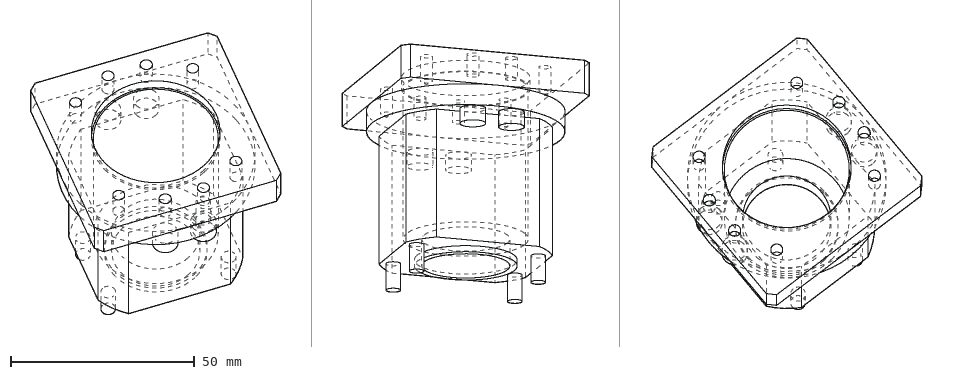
import cadquery as cq
import math

total_height = 58.9
plate_side = 54.0
plate_thickness = 9.35
plate_chamfer = 2.0

flange_thickness = 5.9
body_width_x = 37.75
body_width_y = 42.0
body_corner_radius = 24.0
spigot_diameter = 28.0
spigot_height = 1.7

recess_diameter = 35.0
recess_depth = 3.05
bore_diameter = 34.0
floor_thickness = 5.9
through_diameter = 24.0

tapped_diameter = 3.25
tapped_depth = 7.05
tapped_position = 16.95
drill_point_angle = 118
bolt_hole_diameter = 3.3
bolt_hole_depth = 5.9

bolt_x = 22.5
bolt_y = 5.55
bolt_head_diameter = 7.0
bolt_head_height = 4.2
pin_diameter = 4.0
pin_length = 7.5
pin_x = 9.95
pin_y = 17.45

plate_bottom = total_height - plate_thickness
flange_bottom = plate_bottom - flange_thickness
body_bottom = pin_length
spigot_bottom = body_bottom - spigot_height
bore_bottom = body_bottom + floor_thickness


def cylinder(diameter, bottom, top, points=((0, 0),)):
    """Vertical cylinders of one diameter standing at the given XY points."""
    return (
        cq.Workplane("XY").workplane(offset=bottom)
        .pushPoints(points).circle(diameter / 2).extrude(top - bottom)
    )


def four_corners(x, y):
    """XY points mirrored about both axes."""
    return [(sx * x, sy * y) for sx in (-1, 1) for sy in (-1, 1)]


def make_plate():
    """Square top plate with chamfered vertical edges."""
    return (
        cq.Workplane("XY").workplane(offset=plate_bottom)
        .rect(plate_side, plate_side).extrude(plate_thickness)
        .edges("|Z").chamfer(plate_chamfer)
    )


def make_body():
    """Rectangular body whose corners are rounded by one circle about the axis."""
    block = (
        cq.Workplane("XY").workplane(offset=body_bottom)
        .rect(body_width_x, body_width_y).extrude(flange_bottom - body_bottom)
    )
    return block.intersect(cylinder(2 * body_corner_radius, body_bottom, flange_bottom))


def make_tapped_holes():
    """Four blind holes, each ending in a conical drill point."""
    radius = tapped_diameter / 2
    point_height = radius / math.tan(math.radians(drill_point_angle / 2))
    hole_bottom = total_height - tapped_depth
    profile = [
        (0, hole_bottom - point_height),
        (radius, hole_bottom),
        (radius, total_height),
        (0, total_height),
    ]
    drill = cq.Workplane("XZ").polyline(profile).close().revolve(360, (0, 0), (0, 1))
    holes = cq.Workplane("XY")
    for x, y in four_corners(tapped_position, tapped_position):
        holes = holes.add(drill.translate((x, y, 0)))
    return holes.combine()


bolt_points = four_corners(bolt_x, bolt_y)
pin_points = four_corners(pin_x, pin_y)

result = (
    make_plate()
    .union(cylinder(plate_side, flange_bottom, plate_bottom))
    .union(make_body())
    .union(cylinder(spigot_diameter, spigot_bottom, body_bottom))
    .union(cylinder(bolt_head_diameter, flange_bottom - bolt_head_height, flange_bottom, bolt_points))
    .union(cylinder(pin_diameter, 0, body_bottom, pin_points))
)

result = (
    result
    .cut(cylinder(recess_diameter, total_height - recess_depth, total_height))
    .cut(cylinder(bore_diameter, bore_bottom, total_height))
    .cut(cylinder(through_diameter, spigot_bottom, total_height))
    .cut(make_tapped_holes())
    .cut(cylinder(bolt_hole_diameter, total_height - bolt_hole_depth, total_height, bolt_points))
)